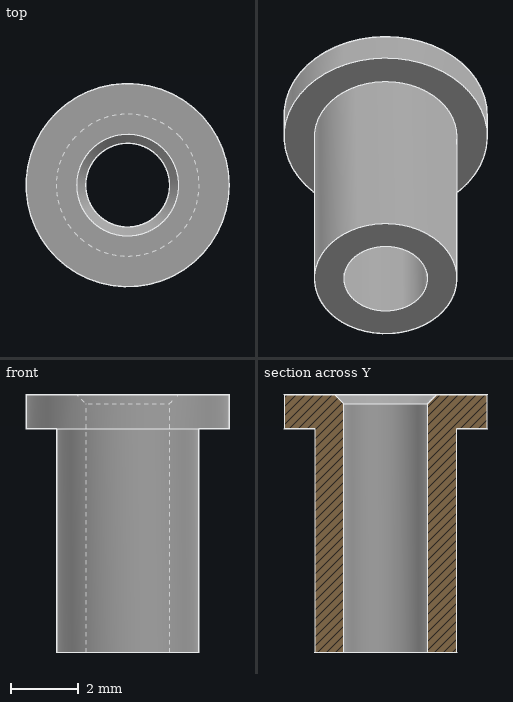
import cadquery as cq

total_height = 7.6
flange_diameter = 6.0
flange_thickness = 1.0
body_diameter = 4.2
bore_diameter = 2.46
bore_mouth_diameter = 3.0

chamfer_size = (bore_mouth_diameter - bore_diameter) / 2

body = cq.Workplane("XY").circle(body_diameter / 2).extrude(total_height)
flange = (
    cq.Workplane("XY", origin=(0, 0, total_height - flange_thickness))
    .circle(flange_diameter / 2)
    .extrude(flange_thickness)
)
bushing = body.union(flange)

bushing = bushing.faces(">Z").workplane().hole(bore_diameter)
result = bushing.faces(">Z").edges(cq.selectors.RadiusNthSelector(0)).chamfer(chamfer_size)